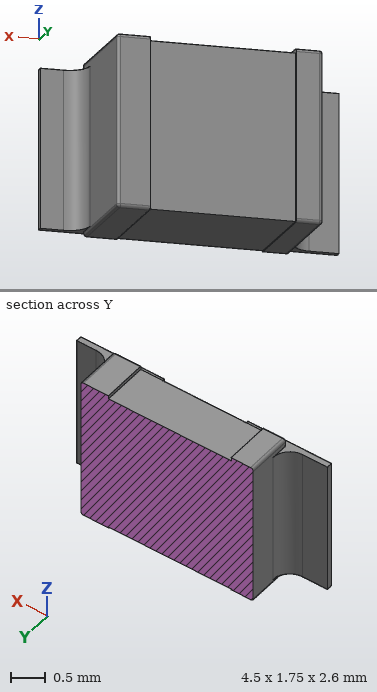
import cadquery as cq

total_length = 4.5
total_depth = 1.75
cap_height = 2.6

cap_span = 3.1
cap_offset = 0.05
left_cap_length = 0.4
right_cap_length = 0.5
cap_edge_radius = 0.05

pad_thickness = 0.1
pad_length = 1.5
pad_height = 2.4
pad_bottom = 0.07
solder_radius = 0.3

top_step = 0.06
bottom_step = 0.015
back_step = 0.045

left_end_distance = cap_span / 2 - cap_offset
right_end_distance = cap_span / 2 + cap_offset


def box_between(x_range, y_range, z_range):
    """Axis-aligned box spanning the given (low, high) ranges."""
    lows, highs = zip(x_range, y_range, z_range)
    size = [high - low for low, high in zip(lows, highs)]
    return cq.Workplane("XY").box(*size, centered=False).translate(lows)


def make_body():
    """Core block, reaching half-way into each cap."""
    return box_between(
        (left_cap_length / 2 - left_end_distance, right_end_distance - right_cap_length / 2),
        (pad_thickness, total_depth - back_step),
        (bottom_step, cap_height - top_step),
    )


def make_cap(end_distance, cap_length):
    """Left-hand end cap with rounded edges around its outer end and back face."""
    cap = box_between(
        (-end_distance, cap_length - end_distance),
        (pad_thickness, total_depth),
        (0, cap_height),
    )
    rounded_edges = cap.edges("(<X and (not <Y)) or (>Y and (not >X))")
    return rounded_edges.fillet(cap_edge_radius)


def make_pad(end_distance, cap_length):
    """Left-hand flat pad with a solder fillet curving up onto the end of the cap."""
    outer_x = -total_length / 2
    inner_x = outer_x + pad_length
    cap_end = -end_distance
    solder_back = cap_end + cap_length / 2
    solder_toe = cap_end - solder_radius
    solder_top = pad_thickness + solder_radius
    diagonal = solder_radius / 2 ** 0.5
    arc_middle = (solder_toe + diagonal, solder_top - diagonal)
    profile = (
        cq.Workplane("XY", origin=(0, 0, pad_bottom))
        .moveTo(outer_x, 0)
        .lineTo(inner_x, 0)
        .lineTo(inner_x, pad_thickness)
        .lineTo(solder_back, pad_thickness)
        .lineTo(solder_back, solder_top)
        .lineTo(cap_end, solder_top)
        .threePointArc(arc_middle, (solder_toe, pad_thickness))
        .lineTo(outer_x, pad_thickness)
        .close()
    )
    return profile.extrude(pad_height)


def make_end(end_distance, cap_length):
    """Left-hand cap joined to its pad."""
    return make_cap(end_distance, cap_length).union(make_pad(end_distance, cap_length))


left_end = make_end(left_end_distance, left_cap_length)
right_end = make_end(right_end_distance, right_cap_length).mirror("YZ")
result = make_body().union(left_end).union(right_end)